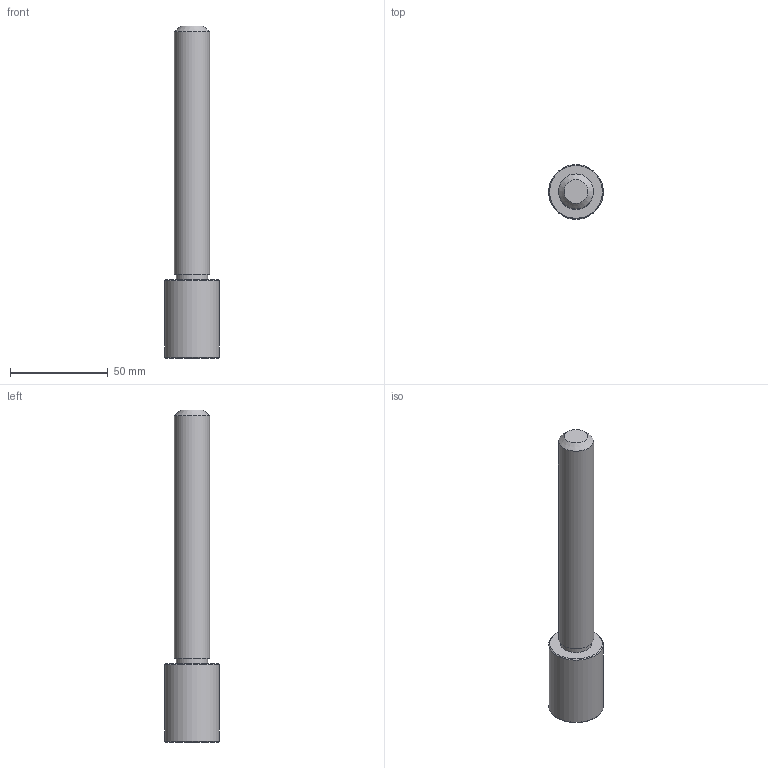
import cadquery as cq

total_length = 170.0

head_diameter = 28.0
head_length = 40.0
head_chamfer = 0.5

neck_diameter = 16.0
neck_length = 3.0

shank_diameter = 18.0
tip_chamfer = 3.0

neck_top = head_length + neck_length
shank_length = total_length - neck_top


def cylinder(diameter, bottom, length):
    """Upright cylinder about the Z axis, starting at height `bottom`."""
    return cq.Workplane("XY").workplane(offset=bottom).circle(diameter / 2).extrude(length)


def make_head():
    """Cylindrical head with a small chamfer on both rims."""
    head = cylinder(head_diameter, 0, head_length)
    return head.edges("%CIRCLE").chamfer(head_chamfer)


def make_neck():
    """Reduced-diameter relief just above the head."""
    return cylinder(neck_diameter, head_length, neck_length)


def make_shank():
    """Long cylindrical shank with a 45 degree chamfered tip."""
    shank = cylinder(shank_diameter, neck_top, shank_length)
    return shank.faces(">Z").edges().chamfer(tip_chamfer)


result = make_head().union(make_neck()).union(make_shank())